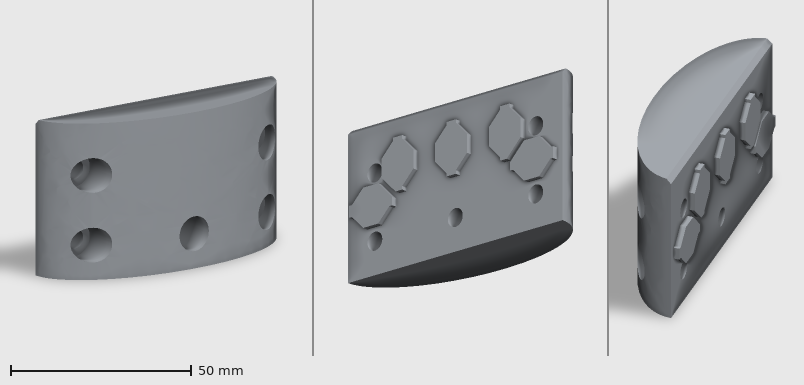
import cadquery as cq

length = 80.0
body_depth = 20.0
height = 45.0
top_chamfer = 1.4

hole_diameter = 5.5
counterbore_diameter = 10.0
counterbore_floor = 5.0
hole_offset = 30.0
lower_row = 10.0
upper_row = 30.0
hole_places = [
    (-hole_offset, lower_row),
    (0, lower_row),
    (hole_offset, lower_row),
    (-hole_offset, upper_row),
    (hole_offset, upper_row),
]

overall_depth = 21.8
pad_thickness = overall_depth - body_depth
pad_half_width = 5.9
pad_half_length = 8.0
pad_half_flat = 2.8
tab_half_width = 1.8
slope_sum = pad_half_width + pad_half_flat
tab_root = slope_sum - tab_half_width
upright_pad_offset = 20.0
level_pad_height = (lower_row + upper_row) / 2


def make_body():
    body = (
        cq.Workplane("XY")
        .moveTo(0, -length / 2)
        .ellipseArc(body_depth, length / 2, -90, 90, startAtCurrent=True)
        .close()
        .extrude(height)
    )
    return body.edges("<X and >Z").chamfer(top_chamfer)


def cylinder_along_x(start, diameter):
    return (
        cq.Workplane("YZ", origin=(start, 0, 0))
        .pushPoints(hole_places)
        .circle(diameter / 2)
        .extrude(overall_depth)
    )


def make_pad(y, z, clipped=False):
    """Upright pad; clipping runs the +Y, -Z slope straight through the lower tab."""
    upper_right = [
        (tab_half_width, pad_half_length),
        (tab_half_width, tab_root),
        (pad_half_width, pad_half_flat),
    ]
    lower_left = [(-across, -along) for across, along in upper_right]
    upper_left = [(-across, along) for across, along in reversed(upper_right)]
    if clipped:
        lower_right = [
            (pad_half_width, -pad_half_flat),
            (slope_sum - pad_half_length, -pad_half_length),
        ]
    else:
        lower_right = [(across, -along) for across, along in reversed(upper_right)]
    outline = upper_right + lower_right + lower_left + upper_left
    return (
        cq.Workplane("YZ", origin=(-pad_thickness, y, z))
        .polyline(outline)
        .close()
        .extrude(pad_thickness)
    )


def make_pad_pair():
    """Upright and level pads of the +Y end, with their clipped slopes facing each other."""
    upright = make_pad(upright_pad_offset, upper_row, clipped=True)
    level_centre = (0, hole_offset, level_pad_height)
    axis_end = (1, hole_offset, level_pad_height)
    level = make_pad(hole_offset, level_pad_height, clipped=True)
    level = level.rotate(level_centre, axis_end, 90)
    level = level.mirror("XZ", level_centre)
    return upright.union(level)


pad_pair = make_pad_pair()
result = (
    make_body()
    .union(make_pad(0, upper_row))
    .union(pad_pair)
    .union(pad_pair.mirror("XZ"))
    .cut(cylinder_along_x(-pad_thickness, hole_diameter))
    .cut(cylinder_along_x(counterbore_floor, counterbore_diameter))
)